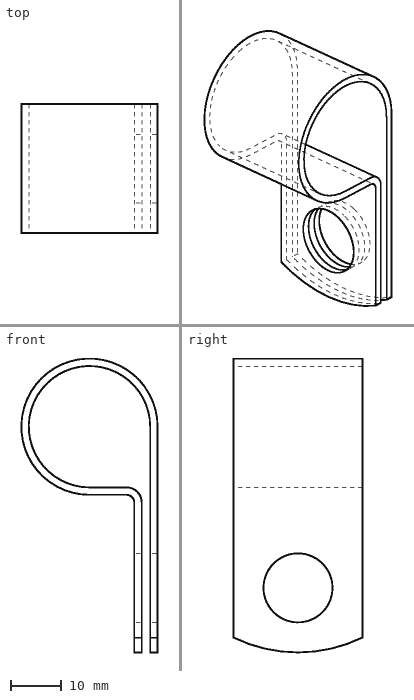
import cadquery as cq
import math

height = 57.85
width = 25.4
loop_radius = 13.4
thickness = 1.5
leg_gap = 1.6
bend_radius = 1.5
end_rise = 2.95
hole_diameter = 13.55
hole_drop = 31.7

inner_radius = loop_radius - thickness
bottom = loop_radius - height
near_leg_right = inner_radius - leg_gap
near_leg_left = near_leg_right - thickness
outer_bend_radius = bend_radius + thickness
bend_x = near_leg_right - outer_bend_radius
bend_z = -inner_radius - outer_bend_radius
diagonal = math.sqrt(0.5)


def make_strap():
    """Bent strip: far leg, three-quarter loop, flat run, bend and near leg."""
    profile = (
        cq.Workplane("XZ")
        .moveTo(loop_radius, bottom)
        .lineTo(loop_radius, 0)
        .threePointArc((-loop_radius * diagonal, loop_radius * diagonal), (0, -loop_radius))
        .lineTo(bend_x, -loop_radius)
        .threePointArc(
            (bend_x + bend_radius * diagonal, bend_z + bend_radius * diagonal),
            (near_leg_left, bend_z),
        )
        .lineTo(near_leg_left, bottom)
        .lineTo(near_leg_right, bottom)
        .lineTo(near_leg_right, bend_z)
        .threePointArc(
            (bend_x + outer_bend_radius * diagonal, bend_z + outer_bend_radius * diagonal),
            (bend_x, -inner_radius),
        )
        .lineTo(0, -inner_radius)
        .threePointArc((-inner_radius * diagonal, inner_radius * diagonal), (inner_radius, 0))
        .lineTo(inner_radius, bottom)
        .close()
    )
    return profile.extrude(width / 2, both=True)


def make_side_outline():
    """Block along X with an arched lower edge, which trims both leg ends."""
    return (
        cq.Workplane("YZ")
        .moveTo(-width / 2, loop_radius)
        .lineTo(-width / 2, bottom + end_rise)
        .threePointArc((0, bottom), (width / 2, bottom + end_rise))
        .lineTo(width / 2, loop_radius)
        .close()
        .extrude(loop_radius, both=True)
    )


def make_bolt_hole():
    """Cylinder along X that passes through both legs."""
    return (
        cq.Workplane("YZ")
        .center(0, -hole_drop)
        .circle(hole_diameter / 2)
        .extrude(loop_radius)
    )


result = make_strap().intersect(make_side_outline()).cut(make_bolt_hole())